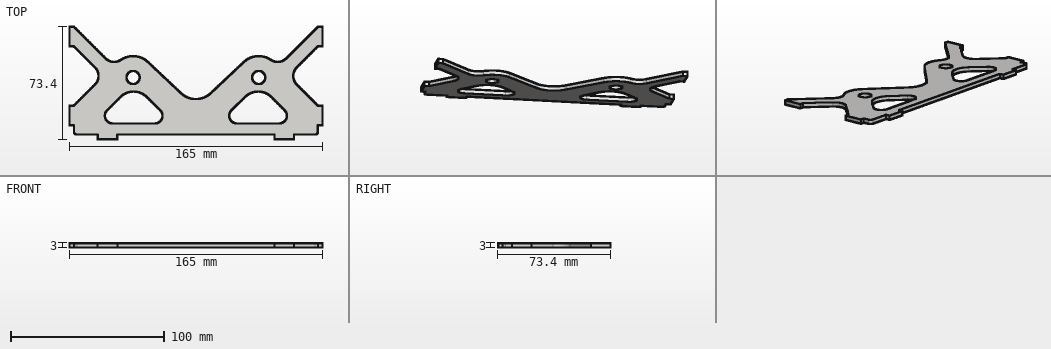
import cadquery as cq
import math

length = 165.0
width = 73.4
thickness = 3.0

tab_depth = thickness
tab_length = 12.9
lower_tab_bottom = 9.0
foot_outer_x = 64.0
corner_radius = 2.0

hole_x = -40.9
hole_y = 40.3
hole_diameter = 8.4
hump_radius = 14.0
valley_radius = 14.0
neck_radius = 8.0
notch_radius = 8.0

window_bottom = 10.4
window_top = 31.0
window_left = -59.2
window_right = -21.8
window_top_x = -40.6
window_top_radius = 12.2
window_corner_radius = 5.0

half_length = length / 2
shoulder_x = -half_length + tab_depth
base_y = tab_depth
lower_tab_top = lower_tab_bottom + tab_length
upper_tab_bottom = width - tab_length
diagonal = math.sqrt(0.5)


def point_on(center, radius, angle):
    """Point on a circle, angle in radians."""
    return (center[0] + radius * math.cos(angle), center[1] + radius * math.sin(angle))


def clockwise_tangent(start, start_radius, end, end_radius):
    """Ends of the line leaving one circle and joining the next, travelling clockwise.

    A negative radius means that circle is travelled counterclockwise.
    """
    dx = end[0] - start[0]
    dy = end[1] - start[1]
    ratio = (start_radius - end_radius) / math.hypot(dx, dy)
    normal = math.atan2(dy, dx) + math.acos(ratio)
    return point_on(start, start_radius, normal), point_on(end, end_radius, normal)


def half_plate():
    """Left half of the plate without openings."""
    hump = (hole_x, hole_y)
    valley = (0, hole_y)
    hump_end, valley_start = clockwise_tangent(hump, hump_radius, valley, -valley_radius)

    hump_offset = (hole_x + hole_y - shoulder_x - width) * diagonal
    across = neck_radius - hump_offset
    along = -math.sqrt((hump_radius + neck_radius) ** 2 - across ** 2)
    neck = (hole_x + (along + across) * diagonal, hole_y + (across - along) * diagonal)
    neck_start = point_on(neck, neck_radius, math.radians(225))
    hump_angle = math.atan2(neck[1] - hole_y, neck[0] - hole_x)
    hump_start = point_on(hump, hump_radius, hump_angle)
    neck_middle = point_on(neck, neck_radius, (math.radians(225) + hump_angle + math.pi) / 2)

    notch_y = (lower_tab_top + upper_tab_bottom) / 2
    notch_apex_x = shoulder_x + (upper_tab_bottom - lower_tab_top) / 2
    notch = (notch_apex_x - notch_radius / diagonal, notch_y)

    outline = (
        cq.Workplane("XY")
        .moveTo(0, base_y)
        .lineTo(-foot_outer_x + tab_length, base_y)
        .lineTo(-foot_outer_x + tab_length, 0)
        .lineTo(-foot_outer_x, 0)
        .lineTo(-foot_outer_x, base_y)
        .lineTo(shoulder_x + corner_radius, base_y)
        .radiusArc((shoulder_x, base_y + corner_radius), corner_radius)
        .lineTo(shoulder_x, lower_tab_bottom)
        .lineTo(-half_length, lower_tab_bottom)
        .lineTo(-half_length, lower_tab_top)
        .lineTo(shoulder_x, lower_tab_top)
        .lineTo(*point_on(notch, notch_radius, -math.pi / 4))
        .threePointArc(
            point_on(notch, notch_radius, 0),
            point_on(notch, notch_radius, math.pi / 4),
        )
        .lineTo(shoulder_x, upper_tab_bottom)
        .lineTo(-half_length, upper_tab_bottom)
        .lineTo(-half_length, width)
        .lineTo(shoulder_x, width)
        .lineTo(*neck_start)
        .threePointArc(neck_middle, hump_start)
        .threePointArc(point_on(hump, hump_radius, math.pi / 2), hump_end)
        .lineTo(*valley_start)
        .radiusArc((0, hole_y - valley_radius), -valley_radius)
        .close()
    )
    return outline.extrude(thickness)


def window():
    """Rounded triangular opening."""
    corner_y = window_bottom + window_corner_radius
    left = (window_left + window_corner_radius, corner_y)
    right = (window_right - window_corner_radius, corner_y)
    top = (window_top_x, window_top - window_top_radius)
    left_end, top_start = clockwise_tangent(left, window_corner_radius, top, window_top_radius)
    top_end, right_start = clockwise_tangent(top, window_top_radius, right, window_corner_radius)
    return (
        cq.Workplane("XY")
        .moveTo(left[0], window_bottom)
        .threePointArc(point_on(left, window_corner_radius, math.pi), left_end)
        .lineTo(*top_start)
        .threePointArc(point_on(top, window_top_radius, math.pi / 2), top_end)
        .lineTo(*right_start)
        .threePointArc(point_on(right, window_corner_radius, 0), (right[0], window_bottom))
        .close()
        .extrude(thickness)
    )


def bolt_hole():
    """Round through hole at the centre of the hump."""
    return cq.Workplane("XY").center(hole_x, hole_y).circle(hole_diameter / 2).extrude(thickness)


left_half = half_plate().cut(window()).cut(bolt_hole())
result = left_half.union(left_half.mirror("YZ")).clean()